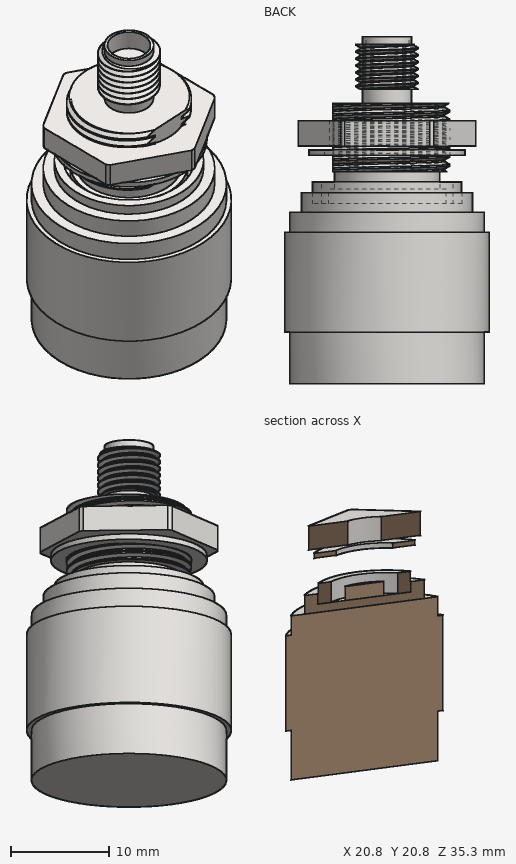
import cadquery as cq
import math

HOUSING_RADIUS = 9.92
BAND_RADIUS = 10.4
BAND_BOTTOM = 5.25
BAND_TOP = 15.43
HOUSING_TOP = 17.47

CAP_RADIUS = 8.72
CAP_TOP = 19.45
RECESS_FLOOR = 18.35

SLEEVE_RADIUS = 7.6
SLEEVE_BORE_RADIUS = 6.67
SLEEVE_TOP = 20.55

COLLAR_RADIUS = 5.95
COLLAR_TOP = 19.85
NECK_RADIUS = 5.35
BULKHEAD_BOTTOM = 21.57
BULKHEAD_TOP = 28.52
BULKHEAD_MAJOR = 6.35
BULKHEAD_MINOR = 5.85
BULKHEAD_PITCH = 0.92
BULKHEAD_CREST_FLAT = 0.18
BULKHEAD_CREST_Z = 24.55
FLAT_X = 5.55
STUB_RADIUS = 2.5
STUB_TOP = 35.3
SOCKET_RADIUS = 2.2
SOCKET_DEPTH = 2.12
STUB_THREAD_BOTTOM = 29.95
STUB_THREAD_TOP = 34.55
STUB_MAJOR = 3.18
STUB_MINOR = 2.72
STUB_PITCH = 0.7
STUB_CREST_FLAT = 0.07
STUB_CREST_Z = 32.37

FLANK_ANGLE = 30.0
THREAD_ROOT_OVERLAP = 0.07

NUT_BOTTOM = 24.18
NUT_TOP = 26.75
NUT_SIDES = 6
NUT_ACROSS_FLATS = 15.9
NUT_CORNER_RADIUS = 9.05
WASHER_RADIUS = 7.95
WASHER_BORE_RADIUS = 6.4
WASHER_BOTTOM = 23.23
WASHER_TOP = 23.8


def disc(radius, bottom, top):
    """Cylinder on the Z axis between two heights."""
    return cq.Workplane("XY").workplane(offset=bottom).circle(radius).extrude(top - bottom)


def threaded_rod(minor, major, pitch, crest_flat, crest_z, bottom, top):
    """Right-hand threaded rod with its ends cut square; one +X crest lies at crest_z."""
    turns_below = math.ceil((crest_z - bottom) / pitch) + 1
    turns_above = math.ceil((top - crest_z) / pitch) + 1
    start = crest_z - turns_below * pitch
    height = (turns_below + turns_above) * pitch

    root = minor - THREAD_ROOT_OVERLAP
    half_crest = crest_flat / 2
    half_root = half_crest + (major - root) * math.tan(math.radians(FLANK_ANGLE))
    helix = cq.Wire.makeHelix(pitch, height, minor).translate(cq.Vector(0, 0, start))
    ridge = (
        cq.Workplane("XZ")
        .polyline([
            (root, start - half_root),
            (major, start - half_crest),
            (major, start + half_crest),
            (root, start + half_root),
        ])
        .close()
        .sweep(cq.Workplane(obj=helix), isFrenet=True)
    )
    ridge = ridge.intersect(disc(major + pitch, bottom, top))
    return disc(minor, bottom, top).union(ridge)


def make_housing():
    barrel = disc(HOUSING_RADIUS, 0, HOUSING_TOP)
    return barrel.union(disc(BAND_RADIUS, BAND_BOTTOM, BAND_TOP))


def make_cap():
    return disc(CAP_RADIUS, HOUSING_TOP, CAP_TOP).cut(disc(SLEEVE_RADIUS, RECESS_FLOOR, CAP_TOP))


def make_sleeve():
    sleeve = disc(SLEEVE_RADIUS, RECESS_FLOOR, SLEEVE_TOP)
    return sleeve.cut(disc(SLEEVE_BORE_RADIUS, RECESS_FLOOR, SLEEVE_TOP))


def make_bulkhead_thread():
    rod = threaded_rod(BULKHEAD_MINOR, BULKHEAD_MAJOR, BULKHEAD_PITCH, BULKHEAD_CREST_FLAT,
                       BULKHEAD_CREST_Z, BULKHEAD_BOTTOM, BULKHEAD_TOP)
    flat_cutter = (
        cq.Workplane("XY")
        .workplane(offset=BULKHEAD_BOTTOM)
        .center(FLAT_X + BULKHEAD_MAJOR / 2, 0)
        .rect(BULKHEAD_MAJOR, 2 * BULKHEAD_MAJOR)
        .extrude(BULKHEAD_TOP - BULKHEAD_BOTTOM)
    )
    return rod.cut(flat_cutter)


def make_connector(bulkhead_thread):
    collar = disc(COLLAR_RADIUS, RECESS_FLOOR, COLLAR_TOP)
    neck = disc(NECK_RADIUS, COLLAR_TOP, BULKHEAD_BOTTOM)
    stub = disc(STUB_RADIUS, BULKHEAD_TOP, STUB_TOP)
    stub_thread = threaded_rod(STUB_MINOR, STUB_MAJOR, STUB_PITCH, STUB_CREST_FLAT,
                               STUB_CREST_Z, STUB_THREAD_BOTTOM, STUB_THREAD_TOP)
    socket = disc(SOCKET_RADIUS, STUB_TOP - SOCKET_DEPTH, STUB_TOP)
    return collar.union(neck).union(bulkhead_thread).union(stub).union(stub_thread).cut(socket)


def make_washer():
    washer = disc(WASHER_RADIUS, WASHER_BOTTOM, WASHER_TOP)
    return washer.cut(disc(WASHER_BORE_RADIUS, WASHER_BOTTOM, WASHER_TOP))


def hexagon_prism(across_flats, turn):
    """Hexagonal prism over the nut's height, turned about Z from corners on the X axis."""
    across_corners = across_flats / math.cos(math.pi / NUT_SIDES)
    return (
        cq.Workplane("XY")
        .workplane(offset=NUT_BOTTOM)
        .transformed(rotate=(0, 0, turn))
        .polygon(NUT_SIDES, across_corners)
        .extrude(NUT_TOP - NUT_BOTTOM)
    )


def make_nut(bulkhead_thread):
    """Hexagon nut with trimmed corners, its bore tapped to match the bulkhead thread."""
    half_side_angle = 180 / NUT_SIDES
    corner_trim = hexagon_prism(2 * NUT_CORNER_RADIUS, half_side_angle)
    blank = hexagon_prism(NUT_ACROSS_FLATS, 0).intersect(corner_trim)
    return blank.cut(disc(BULKHEAD_MINOR, NUT_BOTTOM, NUT_TOP)).cut(bulkhead_thread)


bulkhead_thread = make_bulkhead_thread()
housing = make_housing()
cap = make_cap()
sleeve = make_sleeve()
connector = make_connector(bulkhead_thread)
washer = make_washer()
nut = make_nut(bulkhead_thread)

result = cq.Compound.makeCompound([
    housing.solids().val(),
    cap.solids().val(),
    sleeve.solids().val(),
    connector.solids().val(),
    washer.solids().val(),
    nut.solids().val(),
])